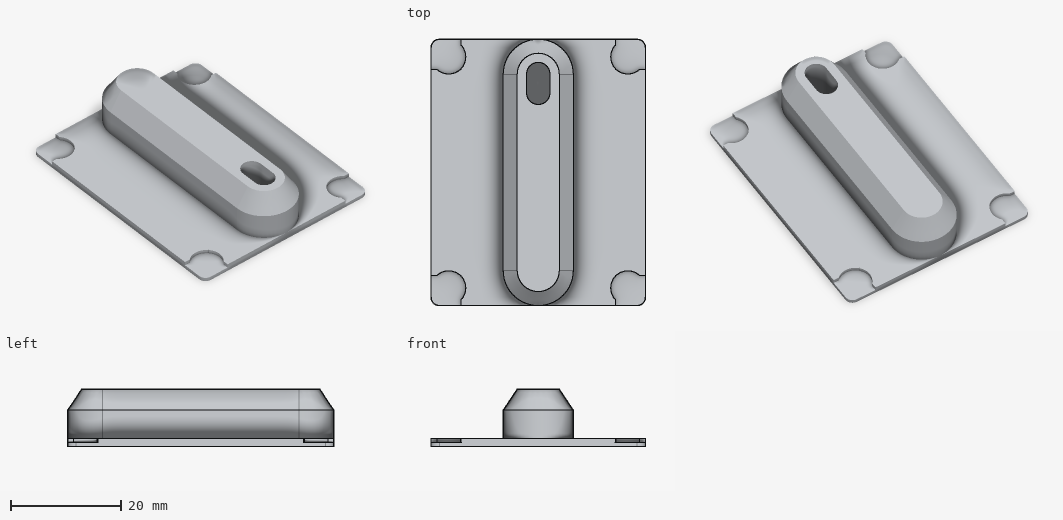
import cadquery as cq

plate_width = 38.86
plate_length = 48.26
plate_thickness = 1.5
plate_corner_radius = 1.5

recess_floor_height = 0.75
recess_square = 5.48
recess_circle_offset = 3.2
recess_circle_radius = 3.1

total_height = 10.41
bar_width = 12.7
bar_shoulder_height = 6.6
bar_top_width = 7.62
bar_inset = (bar_width - bar_top_width) / 2

slot_width = 4.24
slot_length = 7.62
slot_floor_height = plate_thickness
slot_end_margin = 4.2
slot_center_y = plate_length / 2 - slot_end_margin - slot_length / 2


def make_plate():
    return (
        cq.Workplane("XY")
        .rect(plate_width, plate_length)
        .extrude(plate_thickness)
        .edges("|Z")
        .fillet(plate_corner_radius)
    )


def make_bar():
    """Straight-sided bar whose upper part slopes inward all round."""
    lower = cq.Workplane("XY").slot2D(plate_length, bar_width, 90).extrude(bar_shoulder_height)
    upper = (
        cq.Workplane("XY", origin=(0, 0, bar_shoulder_height))
        .slot2D(plate_length, bar_width, 90)
        .workplane(offset=total_height - bar_shoulder_height)
        .slot2D(plate_length - 2 * bar_inset, bar_top_width, 90)
        .loft(ruled=True)
    )
    return lower.union(upper)


def make_corner_recess(x_side, y_side):
    """Cutter for one plate corner; each side is -1 or +1."""
    depth = plate_thickness - recess_floor_height

    def recess_floor(inset):
        """Workplane on the recess floor, centred at an equal inset from both plate edges."""
        center_x = x_side * (plate_width / 2 - inset)
        center_y = y_side * (plate_length / 2 - inset)
        return cq.Workplane("XY", origin=(center_x, center_y, recess_floor_height))

    square = recess_floor(recess_square / 2).rect(recess_square, recess_square).extrude(depth)
    circle = recess_floor(recess_circle_offset).circle(recess_circle_radius).extrude(depth)
    return square.union(circle)


def make_slot():
    return (
        cq.Workplane("XY", origin=(0, slot_center_y, slot_floor_height))
        .slot2D(slot_length, slot_width, 90)
        .extrude(total_height - slot_floor_height)
    )


plate = make_plate()
for x_side in (-1, 1):
    for y_side in (-1, 1):
        plate = plate.cut(make_corner_recess(x_side, y_side))

result = plate.union(make_bar()).cut(make_slot())